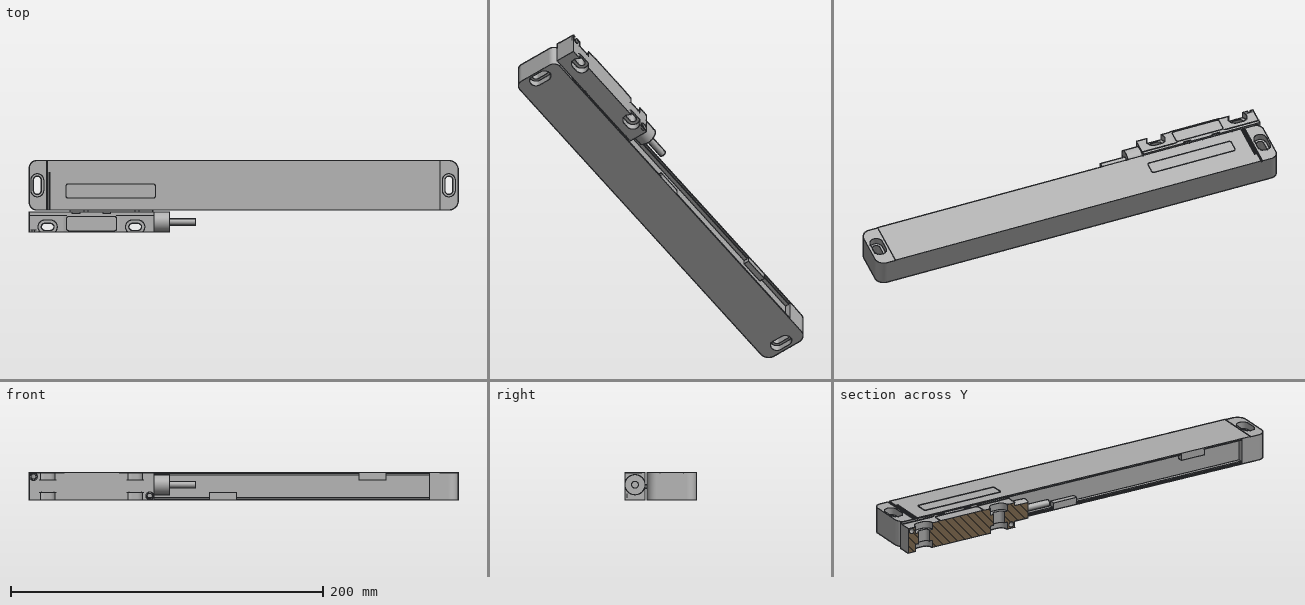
import cadquery as cq
LENGTH = 275.0
HEIGHT = 18.0
TOTAL_WIDTH = 46.0
HEAD_WIDTH = 13.0
HEAD_LENGTH = 80.0
GAP = 1.0
SCALE_FRONT = HEAD_WIDTH + GAP
SCALE_WIDTH = TOTAL_WIDTH - SCALE_FRONT
SCALE_MID_Y = SCALE_FRONT + SCALE_WIDTH / 2

COUNTERBORE_DEPTH = 5.0

LEFT_CAP_LENGTH = 11.0
RIGHT_CAP_LENGTH = 11.8
CAP_STEP = 0.3
LEFT_CORNER_RADIUS = 5.0
RIGHT_CORNER_RADIUS = 6.0
CAP_SLOT_STRAIGHT = 6.5
CAP_SLOT_RADIUS = 2.5
CAP_COUNTERBORE_RADIUS = 4.0
LEFT_SLOT_X = 5.2
RIGHT_SLOT_X = LENGTH - 6.0

SEAM_WIDTH = 0.8
SEAM_DEPTH = 0.8
SEAM_PITCH = 1.6
SHORT_SEAM_LENGTH = 24.2

LABEL_DEPTH = 0.3
SCALE_LABEL_LENGTH = 57.2
SCALE_LABEL_WIDTH = 9.0
SCALE_LABEL_X = 23.6
SCALE_LABEL_Y = SCALE_FRONT + 7.7
LABEL_CORNER_RADIUS = 1.5

CHANNEL_INSET = 18.5
CHANNEL_DEPTH = 3.5
LIP_ROOT = 1.6
LIP_TIP = 0.8
LIP_TIP_DEPTH = 1.0
CLIP_LENGTH = 17.3
CLIP_HEIGHT = 5.0
LOWER_CLIP_X = 115.5
UPPER_CLIP_X = 211.2

LUG_STEP = 0.4
LUG_LENGTH = 22.0
LUG_RAMP = 2.0
BACK_STRIP = 2.2
HEAD_LABEL_INSET = 0.8
HEAD_LABEL_WIDTH = 9.0
MARK_LENGTH = 5.0
MARK_WIDTH = 1.0
MARK_DEPTH = 0.8
MARK_STARTS = (27.5, 47.3)

HEAD_SLOT_STRAIGHT = 3.5
HEAD_SLOT_RADIUS = 2.2
HEAD_COUNTERBORE_RADIUS = 4.5
HEAD_SLOT_Y = 3.3
HEAD_SLOT_CENTRES = (11.8, 68.0)
SCREW_INSET = 2.8
SCREW_RADIUS = 1.6
SCREW_COUNTERBORE_RADIUS = 2.5
SCREW_COUNTERBORE_DEPTH = 1.5

GLAND_RADIUS = HEAD_WIDTH / 2
GLAND_LENGTH = 10.0
CABLE_RADIUS = 2.2
CABLE_LENGTH = 16.8
CABLE_Z = 10.0

ARM_START = 26.0
ARM_LENGTH = 53.0
ARM_THICKNESS = 2.0
ARM_REACH = 2.8
ARM_Z = 8.8
RIB_INSET = 10.2
RIB_WIDTH = 2.5
RIB_THICKNESS = 2.8


def block(x, y, z, length, width, height):
    """Box with its lowest corner at (x, y, z)."""
    return cq.Workplane("XY").box(length, width, height, centered=False).translate((x, y, z))


def slot_prism(x, y, z, straight, radius, height, angle):
    """Vertical prism with a rounded-end outline centred on (x, y)."""
    return (
        cq.Workplane("XY", origin=(x, y, z))
        .slot2D(straight + 2 * radius, 2 * radius, angle)
        .extrude(height)
    )


def mounting_slot(x, y, straight, radius, counterbore_radius, angle):
    """Through slot with the same counterbore at the top and the bottom."""
    tool = slot_prism(x, y, 0, straight, radius, HEIGHT, angle)
    for z in (0, HEIGHT - COUNTERBORE_DEPTH):
        tool = tool.union(slot_prism(x, y, z, straight, counterbore_radius, COUNTERBORE_DEPTH, angle))
    return tool


def label_recess(x, y, top, length, width):
    """Shallow rounded recess for a label, cut down from the level `top`."""
    return block(x, y, top - LABEL_DEPTH, length, width, LABEL_DEPTH).edges("|Z").fillet(LABEL_CORNER_RADIUS)


def channel():
    """Front channel; its mouth is taller than its root because the lips get thinner."""
    length = LENGTH - 2 * CHANNEL_INSET
    root = block(CHANNEL_INSET, SCALE_FRONT, LIP_ROOT, length, CHANNEL_DEPTH, HEIGHT - 2 * LIP_ROOT)
    mouth = block(CHANNEL_INSET, SCALE_FRONT, LIP_TIP, length, LIP_TIP_DEPTH, HEIGHT - 2 * LIP_TIP)
    return root.union(mouth)


def make_scale_housing():
    body = block(0, SCALE_FRONT, 0, LENGTH, SCALE_WIDTH, HEIGHT)
    body = body.edges("|Z and <X").fillet(LEFT_CORNER_RADIUS)
    body = body.edges("|Z and >X").fillet(RIGHT_CORNER_RADIUS)

    for x, length in ((0, LEFT_CAP_LENGTH), (LENGTH - RIGHT_CAP_LENGTH, RIGHT_CAP_LENGTH)):
        body = body.cut(block(x, SCALE_FRONT, HEIGHT - CAP_STEP, length, SCALE_WIDTH, CAP_STEP))

    for x in (LEFT_SLOT_X, RIGHT_SLOT_X):
        body = body.cut(
            mounting_slot(x, SCALE_MID_Y, CAP_SLOT_STRAIGHT, CAP_SLOT_RADIUS, CAP_COUNTERBORE_RADIUS, 90)
        )

    seam_z = HEIGHT - SEAM_DEPTH
    short_seam_x = LEFT_CAP_LENGTH + SEAM_PITCH
    body = body.cut(block(LEFT_CAP_LENGTH, SCALE_FRONT, seam_z, SEAM_WIDTH, SCALE_WIDTH, SEAM_DEPTH))
    body = body.cut(block(short_seam_x, SCALE_FRONT, seam_z, SEAM_WIDTH, SHORT_SEAM_LENGTH, SEAM_DEPTH))

    body = body.cut(label_recess(SCALE_LABEL_X, SCALE_LABEL_Y, HEIGHT, SCALE_LABEL_LENGTH, SCALE_LABEL_WIDTH))

    body = body.cut(channel())
    for x, z in ((LOWER_CLIP_X, 0), (UPPER_CLIP_X, HEIGHT - CLIP_HEIGHT)):
        body = body.union(block(x, SCALE_FRONT, z, CLIP_LENGTH, CHANNEL_DEPTH, CLIP_HEIGHT))
    return body


def lug_cut(x_end, x_foot, x_top):
    """Lowers the top from the end of the head to x_foot, then ramps up to x_top."""
    low = HEIGHT - LUG_STEP
    return (
        cq.Workplane("XZ")
        .polyline([(x_end, low), (x_foot, low), (x_top, HEIGHT), (x_end, HEIGHT)])
        .close()
        .extrude(-(HEAD_WIDTH - BACK_STRIP))
    )


def screw_hole(x, z):
    """Counterbored hole through the head along Y."""
    start = cq.Workplane("XZ", origin=(x, 0, z))
    hole = start.circle(SCREW_RADIUS).extrude(-HEAD_WIDTH)
    return hole.union(start.circle(SCREW_COUNTERBORE_RADIUS).extrude(-SCREW_COUNTERBORE_DEPTH))


def cable():
    """Round gland at the right end of the head, with the cable coming out of it."""
    end = cq.Workplane("YZ", origin=(HEAD_LENGTH, HEAD_WIDTH / 2, CABLE_Z))
    gland = end.circle(GLAND_RADIUS).extrude(GLAND_LENGTH)
    return gland.union(end.circle(CABLE_RADIUS).extrude(GLAND_LENGTH + CABLE_LENGTH))


def arm():
    """Flat arm on the back of the head, with two thicker ribs across it."""
    plate = block(ARM_START, HEAD_WIDTH, ARM_Z - ARM_THICKNESS / 2, ARM_LENGTH, ARM_REACH, ARM_THICKNESS)
    for centre in (ARM_START + RIB_INSET, ARM_START + ARM_LENGTH - RIB_INSET):
        x = centre - RIB_WIDTH / 2
        z = ARM_Z - RIB_THICKNESS / 2
        plate = plate.union(block(x, HEAD_WIDTH, z, RIB_WIDTH, ARM_REACH, RIB_THICKNESS))
    return plate


def make_reading_head():
    body = block(0, 0, 0, HEAD_LENGTH, HEAD_WIDTH, HEIGHT)

    left_foot = LUG_LENGTH
    left_top = left_foot + LUG_RAMP
    right_foot = HEAD_LENGTH - LUG_LENGTH
    right_top = right_foot - LUG_RAMP
    body = body.cut(lug_cut(0, left_foot, left_top))
    body = body.cut(lug_cut(HEAD_LENGTH, right_foot, right_top))

    label_length = right_top - left_top
    body = body.cut(label_recess(left_top, HEAD_LABEL_INSET, HEIGHT, label_length, HEAD_LABEL_WIDTH))

    mark_y = HEAD_WIDTH - MARK_WIDTH
    for x in MARK_STARTS:
        body = body.cut(block(x, mark_y, HEIGHT - MARK_DEPTH, MARK_LENGTH, MARK_WIDTH, MARK_DEPTH))

    for x in HEAD_SLOT_CENTRES:
        body = body.cut(
            mounting_slot(x, HEAD_SLOT_Y, HEAD_SLOT_STRAIGHT, HEAD_SLOT_RADIUS, HEAD_COUNTERBORE_RADIUS, 0)
        )

    body = body.cut(screw_hole(SCREW_INSET, HEIGHT - SCREW_INSET))
    body = body.cut(screw_hole(HEAD_LENGTH - SCREW_INSET, SCREW_INSET))

    return body.union(cable()).union(arm())


scale_housing = make_scale_housing()
reading_head = make_reading_head()

result = cq.Compound.makeCompound([scale_housing.val(), reading_head.val()])